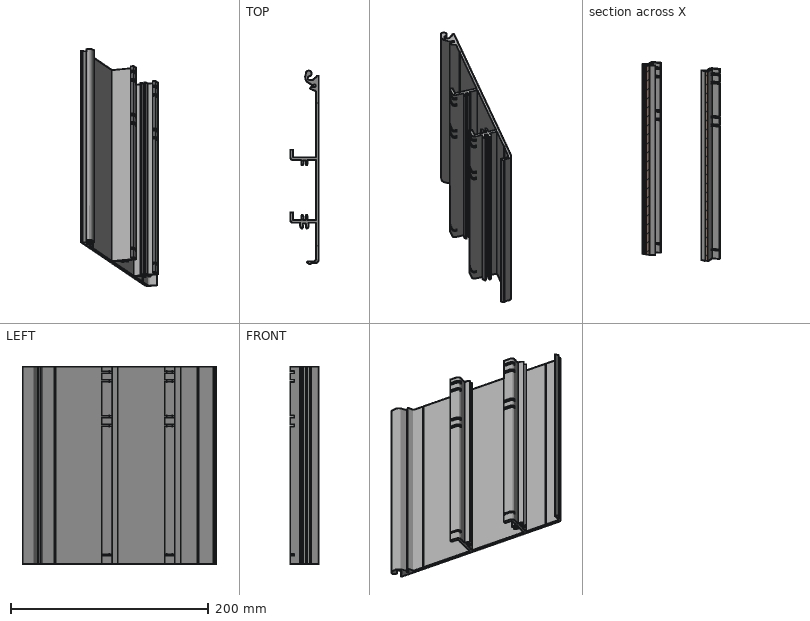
import cadquery as cq
import math

length = 200.0
depth = 29.0
wall = 3.0
overall_width = 196.5
inner_face = depth - wall

plate_bottom = 1.2
plate_top = 191.2
plate_top_corner = 1.0
bend_radius = 4.0
groove_heights = (18.8, 163.5)
groove_width = 1.5
groove_depth = 0.8

lower_arm_y = 42.0
arm_spacing = 63.5
upper_arm_y = lower_arm_y + arm_spacing
arm_thickness = 3.0
lip_height = 10.5
arm_corner_radius = 3.0

prong_center_x = 14.5
prong_half_spacing = 2.2
prong_length = 5.5
prong_base_half = 1.0
prong_neck = 0.8
prong_bulge_half = 1.2
prong_bulge_height = 2.5
prong_tip_half = 0.5
web_thickness = 0.5

barb_base = 4.2
barb_bulge = 4.5
barb_bulge_drop = 1.8
barb_tip = 2.5
barb_tip_width = 0.5
barb_length = 5.8
barb_inner = 1.2
barb_inner_drop = 3.8
barb_undercut = 1.5
barb_undercut_drop = 2.2

slot_depth = 4.0
wide_slot = 2.0
narrow_slot = 1.5
wide_slot_heights = (194.5, 185.5, 149.5, 140.5)
narrow_slot_height = 9.5

foot_thickness = 2.0
foot_inner_radius = 2.2
foot_nose_x = 18.5
foot_nose_end = (17.0, 2.5)
foot_nose_bottom = (17.2, 1.8)
foot_spur_left = 19.8
foot_spur_right = 20.5
foot_spur_root = 21.2

bead_radius = 3.0
bead_x = 18.8
bead_y = overall_width - bead_radius
neck_x = 15.0
neck_y = 189.8
neck_radius = 6.5
root_slope = math.radians(32)
lip_start = (21.8, 181.8)
lip_end = (22.5, 181.0)
throat_radius = 2.0
throat_x = 19.8
throat_y = 188.8
throat_floor_end = 22.5
throat_entry = (18.2, 189.8)
crest_start = 27.8
crest_end = (26.8, 190.2)

channel_x = 24.5
channel_y = 181.0
channel_radius = 1.2
finger_fillet = 1.5
finger_bottom = 176.0
finger_top_end = 21.5
finger_tip = (20.0, 178.2)
finger_belly = (22.0, 177.0)


def extrude_outline(points):
    """Extrude a closed straight-sided outline over the full length."""
    return cq.Workplane("XY").polyline(points).close().extrude(length)


def extrude_rectangle(x_min, x_max, y_min, y_max):
    """Extrude a rectangle of the section over the full length."""
    return extrude_outline([(x_min, y_min), (x_max, y_min), (x_max, y_max), (x_min, y_max)])


def make_plate_and_foot():
    """Back plate up to the hook, bending at the bottom into a short barbed foot."""
    foot_top = plate_bottom + foot_thickness
    return (
        cq.Workplane("XY")
        .moveTo(inner_face, channel_y)
        .lineTo(inner_face, foot_top + foot_inner_radius)
        .tangentArcPoint((inner_face - foot_inner_radius, foot_top), relative=False)
        .lineTo(foot_nose_x, foot_top)
        .tangentArcPoint(foot_nose_end, relative=False)
        .lineTo(*foot_nose_bottom)
        .lineTo(foot_spur_left, 0)
        .lineTo(foot_spur_right, 0)
        .lineTo(foot_spur_root, plate_bottom)
        .lineTo(depth - bend_radius, plate_bottom)
        .tangentArcPoint((depth, plate_bottom + bend_radius), relative=False)
        .lineTo(depth, channel_y)
        .close()
        .extrude(length)
    )


def make_hook():
    """Beaded hook with its root on the plate, and the finger below the channel."""
    neck_end = (
        neck_x + neck_radius * (1 - math.sin(root_slope)),
        neck_y - neck_radius * math.cos(root_slope),
    )
    neck_mid_angle = (math.pi / 2 - root_slope) / 2
    neck_mid = (
        neck_x + neck_radius * (1 - math.cos(neck_mid_angle)),
        neck_y - neck_radius * math.sin(neck_mid_angle),
    )
    fillet_mid = finger_fillet * (1 - math.sqrt(0.5))
    throat_offset = throat_radius * math.sqrt(0.5)
    body = (
        cq.Workplane("XY")
        .moveTo(bead_x - bead_radius, bead_y)
        .lineTo(neck_x, neck_y)
        .threePointArc(neck_mid, neck_end)
        .lineTo(*lip_start)
        .tangentArcPoint(lip_end, relative=False)
        .lineTo(channel_x, channel_y + channel_radius)
        .threePointArc(
            (channel_x + channel_radius, channel_y),
            (channel_x, channel_y - channel_radius),
        )
        .lineTo(finger_top_end, channel_y - channel_radius)
        .lineTo(*finger_tip)
        .threePointArc(finger_belly, (inner_face - finger_fillet, finger_bottom))
        .threePointArc(
            (inner_face - fillet_mid, finger_bottom - fillet_mid),
            (inner_face, finger_bottom - finger_fillet),
        )
        .lineTo(depth, finger_bottom - finger_fillet)
        .lineTo(depth, plate_top - plate_top_corner)
        .tangentArcPoint((depth - plate_top_corner, plate_top), relative=False)
        .lineTo(crest_start, plate_top)
        .tangentArcPoint(crest_end, relative=False)
        .lineTo(throat_floor_end, throat_y - throat_radius)
        .lineTo(throat_x, throat_y - throat_radius)
        .threePointArc(
            (throat_x - throat_offset, throat_y - throat_offset),
            (throat_x - throat_radius, throat_y),
        )
        .threePointArc(throat_entry, (bead_x, bead_y - bead_radius))
        .lineTo(bead_x, bead_y)
        .close()
        .extrude(length)
    )
    bead = cq.Workplane("XY").center(bead_x, bead_y).circle(bead_radius).extrude(length)
    return body.union(bead)


def make_arm(bottom):
    """Arm standing off the plate, with its lip turned toward +Y."""
    bar = extrude_rectangle(0, inner_face, bottom, bottom + arm_thickness)
    lip = extrude_rectangle(0, wall, bottom, bottom + lip_height)
    corner = cq.selectors.NearestToPointSelector((0, bottom, length / 2))
    return bar.union(lip).edges(corner).fillet(arm_corner_radius)


def make_prong_pair(base, direction):
    """Two leaf-shaped prongs leaving the arm face at base along +Y or -Y."""
    neck = base + direction * prong_neck
    bulge = base + direction * prong_bulge_height
    tip = base + direction * prong_length
    pair = cq.Workplane("XY")
    for side in (-1, 1):
        x = prong_center_x + side * prong_half_spacing
        prong = (
            cq.Workplane("XY")
            .moveTo(x - prong_base_half, base)
            .lineTo(x - prong_base_half, neck)
            .threePointArc((x - prong_bulge_half, bulge), (x - prong_tip_half, tip))
            .lineTo(x + prong_tip_half, tip)
            .threePointArc((x + prong_bulge_half, bulge), (x + prong_base_half, neck))
            .lineTo(x + prong_base_half, base)
            .close()
            .extrude(length)
        )
        pair = pair.union(prong)
    return pair


def make_web(arm_bottom):
    """Thickening under an arm between its two prongs."""
    return extrude_rectangle(
        prong_center_x - prong_half_spacing,
        prong_center_x + prong_half_spacing,
        arm_bottom - web_thickness,
        arm_bottom,
    )


def make_barb_pair(base):
    """Two barbed prongs hanging below the arm face at base."""
    pair = cq.Workplane("XY")
    for side in (-1, 1):
        barb = (
            cq.Workplane("XY")
            .moveTo(prong_center_x + side * barb_base, base)
            .threePointArc(
                (prong_center_x + side * barb_bulge, base - barb_bulge_drop),
                (prong_center_x + side * barb_tip, base - barb_length),
            )
            .lineTo(prong_center_x + side * (barb_tip - barb_tip_width), base - barb_length)
            .lineTo(prong_center_x + side * barb_inner, base - barb_inner_drop)
            .lineTo(prong_center_x + side * barb_undercut, base - barb_undercut_drop)
            .lineTo(prong_center_x + side * barb_inner, base)
            .close()
            .extrude(length)
        )
        pair = pair.union(barb)
    return pair


def make_groove(center_y):
    """V-groove cutter for the inner face of the plate."""
    return extrude_outline([
        (inner_face, center_y - groove_width / 2),
        (inner_face + groove_depth, center_y),
        (inner_face, center_y + groove_width / 2),
    ])


def make_slot(center_z, width):
    """Cutter crossing the lips of both arms at one height along Z."""
    reach = arm_spacing + lip_height
    return (
        cq.Workplane("XY")
        .box(slot_depth, reach, width, centered=(False, False, True))
        .translate((0, lower_arm_y, center_z))
    )


result = make_plate_and_foot().union(make_hook())
for arm_y in (lower_arm_y, upper_arm_y):
    result = result.union(make_arm(arm_y)).union(make_web(arm_y))
result = result.union(make_prong_pair(upper_arm_y, -1))
result = result.union(make_prong_pair(lower_arm_y + arm_thickness, 1))
result = result.union(make_barb_pair(lower_arm_y))
for groove_y in groove_heights:
    result = result.cut(make_groove(groove_y))
for slot_z in wide_slot_heights:
    result = result.cut(make_slot(slot_z, wide_slot))
result = result.cut(make_slot(narrow_slot_height, narrow_slot))